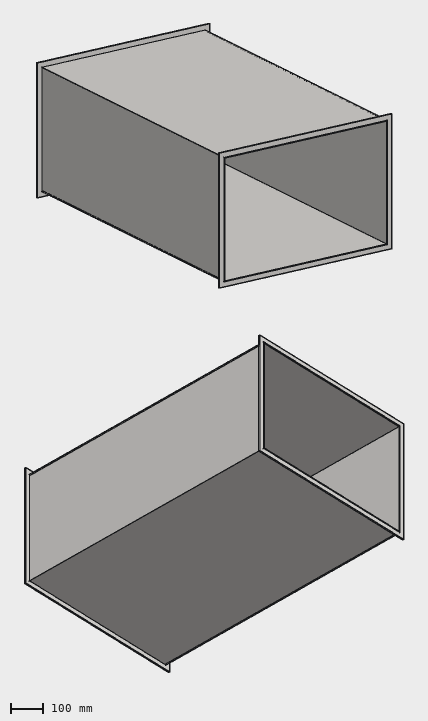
import cadquery as cq

LENGTH = 1000.0
FLANGE_WIDTH = 640.0
FLANGE_HEIGHT = 440.0
FLANGE_THICKNESS = 5.0

FLANGE_BORDER = 20.0
WALL = 3.0
BORE_WIDTH = FLANGE_WIDTH - 2 * FLANGE_BORDER
BORE_HEIGHT = FLANGE_HEIGHT - 2 * FLANGE_BORDER
DUCT_WIDTH = BORE_WIDTH + 2 * WALL
DUCT_HEIGHT = BORE_HEIGHT + 2 * WALL


def rectangular_frame(start_x, length, outer_width, outer_height, inner_width, inner_height):
    """Rectangular tube along X, centred on the X axis."""
    return (
        cq.Workplane("YZ", origin=(start_x, 0, 0))
        .rect(outer_width, outer_height)
        .rect(inner_width, inner_height)
        .extrude(length)
    )


def make_duct():
    """Thin-walled duct running the full length, open at both ends."""
    return rectangular_frame(-LENGTH / 2, LENGTH, DUCT_WIDTH, DUCT_HEIGHT, BORE_WIDTH, BORE_HEIGHT)


def make_flange(start_x):
    """Flat frame that fits around one end of the duct."""
    return rectangular_frame(
        start_x, FLANGE_THICKNESS, FLANGE_WIDTH, FLANGE_HEIGHT, DUCT_WIDTH, DUCT_HEIGHT
    )


duct = make_duct()

flange_starts = [-LENGTH / 2, LENGTH / 2 - FLANGE_THICKNESS]
flanges = []
for flange_start in flange_starts:
    flanges.append(make_flange(flange_start))

result = cq.Compound.makeCompound([duct.val(), *[flange.val() for flange in flanges]])